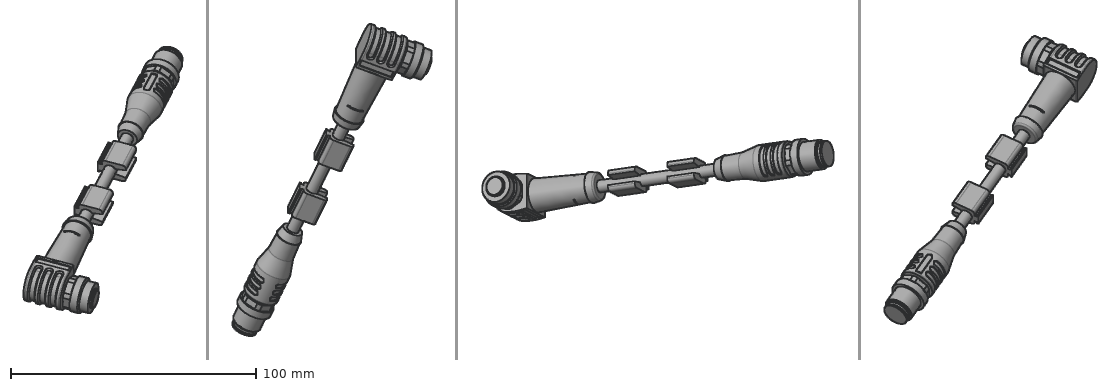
import cadquery as cq
import math

total_length = 151.0
block_radius = 8.0
tip_y = total_length - block_radius
cable_radius = 2.5

overlap = 0.8

collar_radius = 7.47
neck_radius = 4.7
hex_across_flats = 13.0
hex_corner_radius = 7.0

tip_radius = 5.3
tip_length = 2.9
tip_groove_start = 0.9
tip_groove_end = 2.1
tip_groove_depth = 0.2
plug_barrel_radius = 6.11
plug_collar_start = 10.3
plug_collar_end = 13.6
plug_hex_end = 16.5
grip_start = 17.4
grip_end = 30.8
grip_radius = 7.47
grip_rim = 0.6
grip_rim_step = 0.2
neck_taper_end = 38.5
neck_taper_radius = 5.51
tail_start = 46.6
tail_small_radius = 5.1
tail_flare_radius = 5.5
tail_end = 50.5
tail_end_radius = 4.2

grip_groove_centers = (20.5, 23.7, 26.9)
grip_groove_width = 2.1
grip_groove_depth = 0.6
grip_groove_inner_x = 2.7
channel_start = 18.9
channel_end = 29.0
channel_width = 2.5
channel_depth = 0.6

clip_starts = (58.3, 85.6)
clip_length = 12.4
clip_half_height = 4.5
clip_left = -3.6
clip_right = 6.8
clip_left_rounding = 1.5
clip_right_rounding = 1.7
label_face_x = -5.5
label_half_height = 2.5
label_groove_width = 1.0
label_groove_depth = 0.6
mouth_half_height = 2.1
throat_half_height = 1.0

boot_start = 105.4
boot_start_radius = 5.7
boot_start_rounding = 0.9
boot_flange_at = 109.2
boot_flange_radius = 6.5
boot_neck_radius = 5.9
boot_end_radius = 7.1
boot_slit_at = 115.3
boot_slit_width = 0.5
boot_slit_depth = 1.0
boot_slit_half_width = 3.6

block_start = 134.7
block_half_width = 8.0
block_front_half_height = 7.4
block_edge_chamfer = 0.2
block_edge_chamfer_length = 0.8
panel_start = 136.0
panel_length = 2.9
panel_half_width = 7.1
panel_depth = 0.3
rib_groove_pitch = 4.5
rib_groove_width = 3.3
rib_floor_width = 2.1
rib_groove_depth = 0.8
rib_groove_end_y = 0.9

socket_hex_start = 8.8
socket_collar_start = 12.0
socket_collar_end = 15.9
socket_collar_chamfer = 0.6
socket_barrel_radius = 6.42
socket_barrel_end = 19.5
socket_insert_radius = 4.15
socket_insert_end = 20.7
socket_insert_chamfer = 0.5


def along_cable(stations):
    """Solid of revolution on the cable axis from (distance from tip, radius) stations."""
    points = [(radius, tip_y - distance) for distance, radius in stations]
    outline = [(0, points[0][1])] + points + [(0, points[-1][1])]
    return cq.Workplane("XY").polyline(outline).close().revolve(360, (0, 0), (0, 1))


def box(x_range, y_range, z_range):
    """Axis-aligned box between the given limits."""
    spans = [high - low for low, high in (x_range, y_range, z_range)]
    return cq.Workplane("XY").box(*spans, centered=False).translate(
        (x_range[0], y_range[0], z_range[0]))


def coupling_hex(length):
    """Hex nut on the Z axis, flats facing +-X, with turned-down corners."""
    across_corners = hex_across_flats / math.cos(math.pi / 6)
    nut = (cq.Workplane("XY").polygon(6, across_corners)
           .extrude(length).rotate((0, 0, 0), (0, 0, 1), 30))
    turned = cq.Workplane("XY").circle(hex_corner_radius).extrude(length)
    return nut.intersect(turned)


def plug():
    """Straight plug with its coupling nut, grip and tapered tail."""
    body = along_cable([
        (0, tip_radius),
        (tip_groove_start, tip_radius),
        (tip_groove_start, tip_radius - tip_groove_depth),
        (tip_groove_end, tip_radius - tip_groove_depth),
        (tip_groove_end, tip_radius),
        (tip_length, tip_radius),
        (tip_length, plug_barrel_radius),
        (plug_collar_start, plug_barrel_radius),
        (plug_collar_start, collar_radius),
        (plug_collar_end, collar_radius),
        (plug_collar_end, neck_radius),
        (grip_start, neck_radius),
        (grip_start, grip_radius - grip_rim_step),
        (grip_start + grip_rim, grip_radius),
        (grip_end, grip_radius),
        (neck_taper_end, neck_taper_radius),
        (tail_start, tail_small_radius),
        (tail_start, tail_flare_radius),
        (tail_end, tail_end_radius),
    ])
    nut = coupling_hex(plug_hex_end - plug_collar_end)
    nut = nut.rotate((0, 0, 0), (1, 0, 0), 90).translate((0, tip_y - plug_collar_end, 0))
    body = body.union(nut)
    for center in grip_groove_centers:
        body = body.cut(grip_groove(center))
    return body.cut(marking_channel())


def grip_groove(center):
    """Pair of round-ended finger grooves wrapping both sides of the grip."""
    half_width = grip_groove_width / 2
    band = along_cable([(center - half_width, grip_radius + overlap),
                        (center + half_width, grip_radius + overlap)])
    core = along_cable([(center - grip_groove_width, grip_radius - grip_groove_depth),
                        (center + grip_groove_width, grip_radius - grip_groove_depth)])
    slot_length = 2 * grip_radius
    sides = cq.Workplane("XY")
    for side in (-1, 1):
        slot_center = side * (grip_groove_inner_x + slot_length / 2)
        sides = sides.add(cq.Workplane("XY").center(slot_center, tip_y - center)
                          .slot2D(slot_length, grip_groove_width)
                          .extrude(grip_radius + overlap, both=True))
    return band.cut(core).intersect(sides.combine())


def marking_channel():
    """Channel along the top of the grip, square at the front and round at the rear."""
    half_width = channel_width / 2
    front = tip_y - channel_start
    rear = tip_y - channel_end
    return (cq.Workplane("XY", origin=(0, 0, grip_radius - channel_depth))
            .moveTo(-half_width, front)
            .lineTo(-half_width, rear + half_width)
            .threePointArc((0, rear), (half_width, rear + half_width))
            .lineTo(half_width, front)
            .close().extrude(channel_depth + overlap))


def marker_clip(start):
    """C-shaped clip, closed by the label face on -X and open towards +X."""
    y_range = (tip_y - start - clip_length, tip_y - start)
    z_range = (-clip_half_height, clip_half_height)
    clip = box((clip_left, clip_right), y_range, z_range)
    clip = clip.edges("|Y and <X").fillet(clip_left_rounding)
    clip = clip.edges("|Y and >X").fillet(clip_right_rounding)
    clip = clip.union(box((label_face_x, 0), y_range, (-label_half_height, label_half_height)))
    mouth = (cq.Workplane("XZ", origin=(0, tip_y - start, 0))
             .polyline([(0, -throat_half_height), (clip_right, -mouth_half_height),
                        (clip_right, mouth_half_height), (0, throat_half_height)])
             .close().extrude(clip_length))
    clip = clip.cut(mouth)
    groove_x = (clip_left - label_groove_width, clip_left)
    groove_floor = label_half_height - label_groove_depth
    for z_range in ((groove_floor, label_half_height), (-label_half_height, -groove_floor)):
        clip = clip.cut(box(groove_x, y_range, z_range))
    return clip


def boot():
    """Tapered cable boot with a flange and a slit above and below."""
    body = along_cable([
        (boot_start, boot_start_radius),
        (boot_flange_at, boot_flange_radius),
        (boot_flange_at, boot_neck_radius),
        (block_start + overlap, boot_end_radius),
    ])
    body = body.edges(">Y").fillet(boot_start_rounding)
    taper = (boot_end_radius - boot_neck_radius) / (block_start + overlap - boot_flange_at)
    slit_floor = boot_neck_radius + taper * (boot_slit_at - boot_flange_at) - boot_slit_depth
    slit_y = (tip_y - boot_slit_at - boot_slit_width, tip_y - boot_slit_at)
    slit_x = (-boot_slit_half_width, boot_slit_half_width)
    for z_range in ((slit_floor, block_radius), (-block_radius, -slit_floor)):
        body = body.cut(box(slit_x, slit_y, z_range))
    return body


def rib_groove(x):
    """Sloped-wall groove around the rounded end of the block, with round ends."""
    outer = block_radius + overlap
    floor = block_radius - rib_groove_depth
    slope = (rib_groove_width - rib_floor_width) / 2 / rib_groove_depth
    half_floor = rib_floor_width / 2
    half_top = half_floor + slope * (outer - floor)
    section = [(-half_floor, floor), (half_floor, floor), (half_top, outer), (-half_top, outer)]
    groove = cq.Workplane("XZ").polyline(section).close().revolve(180, (0, 0), (1, 0))
    run = cq.Workplane("XZ").polyline(section).close().extrude(-rib_groove_end_y)
    round_end = (cq.Workplane("XZ", origin=(0, rib_groove_end_y, 0))
                 .polyline([(0, floor), (half_floor, floor), (half_top, outer), (0, outer)])
                 .close().revolve(360, (0, 0), (0, 1)))
    straight = run.union(round_end)
    groove = groove.union(straight).union(straight.mirror("XY"))
    return groove.translate((x, 0, 0))


def block():
    """Angled block: slightly tapered front, round rear, recessed panels and grooves between ribs."""
    front = tip_y - block_start
    taper_end = tip_y - panel_start - panel_length
    body = (cq.Workplane("YZ", origin=(-block_half_width, 0, 0))
            .moveTo(front, -block_front_half_height)
            .lineTo(front, block_front_half_height)
            .lineTo(taper_end, block_radius)
            .lineTo(0, block_radius)
            .threePointArc((-block_radius, 0), (0, -block_radius))
            .lineTo(taper_end, -block_radius)
            .close().extrude(2 * block_half_width))
    body = body.faces("<X or >X").chamfer(block_edge_chamfer_length, block_edge_chamfer)
    panel_y = (tip_y - panel_start - panel_length, tip_y - panel_start)
    panel_x = (-panel_half_width, panel_half_width)
    panel_floor = block_front_half_height - panel_depth
    for z_range in ((panel_floor, 2 * block_radius), (-2 * block_radius, -panel_floor)):
        body = body.cut(box(panel_x, panel_y, z_range))
    for x in (-rib_groove_pitch, 0, rib_groove_pitch):
        body = body.cut(rib_groove(x))
    return body


def socket():
    """Socket coupling: neck, nut, collar, barrel and insert along +X."""
    stations = [
        (0, neck_radius),
        (socket_collar_start, neck_radius),
        (socket_collar_start, collar_radius),
        (socket_collar_end - socket_collar_chamfer, collar_radius),
        (socket_collar_end, collar_radius - socket_collar_chamfer),
        (socket_collar_end, socket_barrel_radius),
        (socket_barrel_end, socket_barrel_radius),
        (socket_barrel_end, socket_insert_radius),
        (socket_insert_end - socket_insert_chamfer, socket_insert_radius),
        (socket_insert_end, socket_insert_radius - socket_insert_chamfer),
    ]
    outline = [(0, 0)] + stations + [(socket_insert_end, 0)]
    body = cq.Workplane("XY").polyline(outline).close().revolve(360, (0, 0), (1, 0))
    nut = coupling_hex(socket_collar_start - socket_hex_start).rotate((0, 0, 0), (0, 0, 1), 90)
    nut = nut.rotate((0, 0, 0), (0, 1, 0), -90).translate((socket_collar_start, 0, 0))
    return body.union(nut)


cable = along_cable([(tail_end - overlap, cable_radius), (boot_start + overlap, cable_radius)])
result = cable.union(plug()).union(boot()).union(block()).union(socket())
for clip_start in clip_starts:
    result = result.union(marker_clip(clip_start))